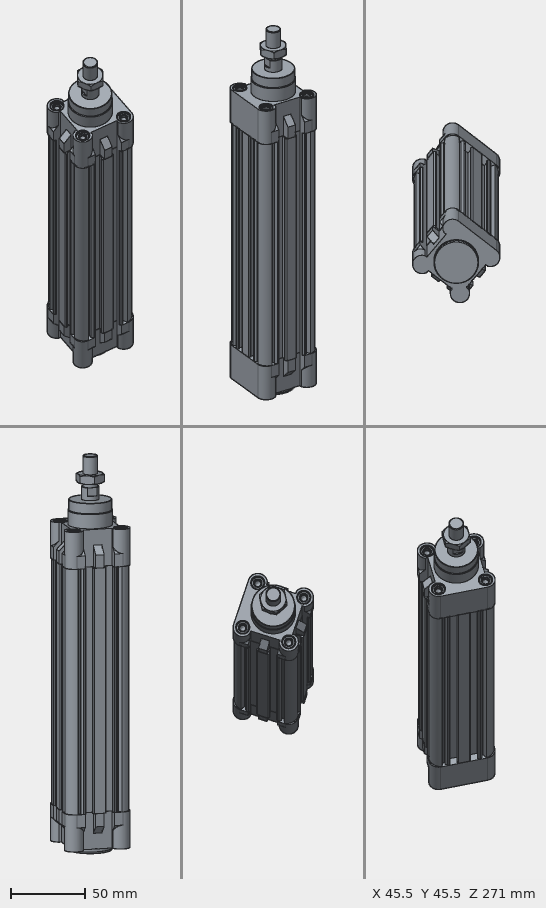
import cadquery as cq
import math

WIDTH = 45.5
HEIGHT = 271.0
HALF_WIDTH = WIDTH / 2

QUARTER_TURNS = (0, 90, 180, 270)

REAR_BOSS_HEIGHT = 3.8
CAP_HEIGHT = 25.5
BODY_HEIGHT = 219.8
REAR_CAP_BOTTOM = REAR_BOSS_HEIGHT
REAR_CAP_TOP = REAR_CAP_BOTTOM + CAP_HEIGHT
FRONT_CAP_TOP = REAR_CAP_BOTTOM + BODY_HEIGHT
FRONT_CAP_BOTTOM = FRONT_CAP_TOP - CAP_HEIGHT
SCREW_SPACING = 32.5
SCREW_OFFSET = SCREW_SPACING / 2
LOBE_RADIUS = HALF_WIDTH - SCREW_OFFSET
CAP_FACE = 17.0
RIB_HEIGHT = 9.0
RIB_WIDTH = 6.0
LOBE_INNER_EDGE = 10.3
RECESSED_SIDES = (-90, 0, 90)

SCREW_HOLE_DIAMETER = 9.5
SCREW_HOLE_DEPTH = 0.5
SCREW_RIM_DIAMETER = 9.0
SCREW_FACE_DIAMETER = 8.0
SCREW_RIM_DEPTH = 0.5
SOCKET_DIAMETER = 6.0
SOCKET_CORE_DIAMETER = 5.0
SOCKET_CHAMFER = (SOCKET_DIAMETER - SOCKET_CORE_DIAMETER) / 2
SOCKET_DEPTH = 2.0
SOCKET_TIP_DIAMETER = 4.0

BARREL_WIDTH = 45.0
BARREL_FACE = BARREL_WIDTH / 2
BARREL_CORNER_RADIUS = 8.0
SLOT_CENTRE = 7.0
SLOT_MOUTH_HALF = 2.5
SLOT_WIDE_HALF = 3.3
SLOT_FLOOR = 17.3
SLOT_LIP_INNER = 21.0
SLOT_LIP_CHAMFER = SLOT_WIDE_HALF - SLOT_MOUTH_HALF
GROOVE_MOUTH_INNER = 11.5
GROOVE_FLOOR_INNER = 12.7
GROOVE_FLOOR_OUTER = 13.8
GROOVE_MOUTH_OUTER = 15.5
GROOVE_DEPTH = 3.0
GROOVE_CHAMFER = GROOVE_FLOOR_INNER - GROOVE_MOUTH_INNER

COLLAR_DIAMETER = 30.0
COLLAR_HEIGHT = 10.3
NOSE_DIAMETER = 29.0
NOSE_HEIGHT = 7.0
NOSE_TOP = FRONT_CAP_TOP + COLLAR_HEIGHT + NOSE_HEIGHT
BOSS_CHAMFER_HEIGHT = 1.4
BOSS_CHAMFER_DEPTH = (COLLAR_DIAMETER - NOSE_DIAMETER) / 2
COLLAR_CHAMFER = 0.5
NOSE_CHAMFER = 0.3

ROD_DIAMETER = 12.0
THREAD_DIAMETER = 10.0
THREAD_BOTTOM = 249.5
THREAD_CHAMFER = 0.5
FLAT_SPACING = 9.8
FLAT_BOTTOM = 244.0
ROD_END = FRONT_CAP_BOTTOM

NUT_ACROSS_FLATS = 17.0
NUT_BOTTOM = 252.5
NUT_HEIGHT = 6.0
NUT_CHAMFER_ANGLE = 30.0
NUT_SIDES = 6


def box(x_range, y_range, z_range):
    size = [high - low for low, high in (x_range, y_range, z_range)]
    return cq.Workplane("XY").box(*size, centered=False).translate((x_range[0], y_range[0], z_range[0]))


def disc(diameter, bottom, height):
    return cq.Workplane("XY").workplane(offset=bottom).circle(diameter / 2).extrude(height)


def corner_points():
    return [(x, y) for x in (-SCREW_OFFSET, SCREW_OFFSET) for y in (-SCREW_OFFSET, SCREW_OFFSET)]


def ribs_on_one_face():
    """Centre rib and two corner pads on the -Y face of the front cap, with tops sloping at 45 degrees."""
    slope_top = RIB_HEIGHT + HALF_WIDTH - CAP_FACE
    profile = [(-SCREW_OFFSET, 0), (-HALF_WIDTH, 0), (-HALF_WIDTH, RIB_HEIGHT)]
    profile += [(-CAP_FACE, slope_top), (-SCREW_OFFSET, slope_top)]
    spans = [
        (-SCREW_OFFSET, -LOBE_INNER_EDGE),
        (-RIB_WIDTH / 2, RIB_WIDTH / 2),
        (LOBE_INNER_EDGE, SCREW_OFFSET),
    ]
    ribs = cq.Workplane("XY")
    for left, right in spans:
        rib = cq.Workplane("YZ").workplane(offset=left).polyline(profile).close().extrude(right - left)
        ribs = ribs.add(rib.translate((0, 0, FRONT_CAP_BOTTOM)))
    return ribs.combine()


def make_lobe():
    """Round lobe at the +X +Y corner, cut off flat on its two inner sides."""
    span = (LOBE_INNER_EDGE, HALF_WIDTH)
    lobe = disc(2 * LOBE_RADIUS, FRONT_CAP_BOTTOM, CAP_HEIGHT).translate((SCREW_OFFSET, SCREW_OFFSET, 0))
    z_range = (FRONT_CAP_BOTTOM, FRONT_CAP_TOP)
    walls = box((LOBE_INNER_EDGE, SCREW_OFFSET), (LOBE_INNER_EDGE, SCREW_OFFSET), z_range)
    return lobe.intersect(box(span, span, z_range)).union(walls)


def make_front_cap():
    """Cap with four round lobes, recessed on three sides and flat on the +Y side."""
    z_range = (FRONT_CAP_BOTTOM, FRONT_CAP_TOP)
    cap = box((-CAP_FACE, CAP_FACE), (-CAP_FACE, CAP_FACE), z_range)
    cap = cap.union(box((-SCREW_OFFSET, SCREW_OFFSET), (0, HALF_WIDTH), z_range))
    for angle in QUARTER_TURNS:
        cap = cap.union(make_lobe().rotate((0, 0, 0), (0, 0, 1), angle))
    for angle in RECESSED_SIDES:
        cap = cap.union(ribs_on_one_face().rotate((0, 0, 0), (0, 0, 1), angle))
    return cap


def make_screw_recess():
    """Stepped round recess of one corner screw, open at the top face of the front cap."""
    rim_bottom = -SCREW_HOLE_DEPTH - SCREW_RIM_DEPTH
    core_top = rim_bottom - SOCKET_CHAMFER
    core_bottom = rim_bottom - SOCKET_DEPTH
    tip_radius = SOCKET_TIP_DIAMETER / 2
    profile = [
        (0, 0),
        (SCREW_HOLE_DIAMETER / 2, 0),
        (SCREW_HOLE_DIAMETER / 2, -SCREW_HOLE_DEPTH),
        (SCREW_RIM_DIAMETER / 2, -SCREW_HOLE_DEPTH),
        (SCREW_FACE_DIAMETER / 2, rim_bottom),
        (SOCKET_DIAMETER / 2, rim_bottom),
        (SOCKET_CORE_DIAMETER / 2, core_top),
        (SOCKET_CORE_DIAMETER / 2, core_bottom),
        (tip_radius, core_bottom),
        (0, core_bottom - tip_radius),
    ]
    recess = cq.Workplane("XZ").polyline(profile).close().revolve(360, (0, 0, 0), (0, 1, 0))
    return recess.translate((0, 0, FRONT_CAP_TOP))


def slot_outline(side):
    """Undercut slot in the -Y face of the barrel, on the given side of its middle."""
    half_outline = [
        (SLOT_WIDE_HALF, -BARREL_FACE),
        (SLOT_MOUTH_HALF, -BARREL_FACE + SLOT_LIP_CHAMFER),
        (SLOT_MOUTH_HALF, -SLOT_LIP_INNER),
        (SLOT_WIDE_HALF, -SLOT_LIP_INNER),
        (SLOT_WIDE_HALF, -SLOT_FLOOR),
    ]
    right = [(side * SLOT_CENTRE + x, y) for x, y in half_outline]
    left = [(side * SLOT_CENTRE - x, y) for x, y in reversed(half_outline)]
    return right + left


def groove_outline(side):
    """Groove beside the slot, with a chamfered inner wall and a sloping outer wall."""
    outline = [
        (GROOVE_MOUTH_INNER, -BARREL_FACE),
        (GROOVE_FLOOR_INNER, -BARREL_FACE + GROOVE_CHAMFER),
        (GROOVE_FLOOR_INNER, -BARREL_FACE + GROOVE_DEPTH),
        (GROOVE_FLOOR_OUTER, -BARREL_FACE + GROOVE_DEPTH),
        (GROOVE_MOUTH_OUTER, -BARREL_FACE),
    ]
    return [(side * x, y) for x, y in outline]


def make_barrel():
    length = FRONT_CAP_BOTTOM - REAR_CAP_TOP
    barrel = cq.Workplane("XY").rect(BARREL_WIDTH, BARREL_WIDTH).extrude(length)
    barrel = barrel.edges("|Z").fillet(BARREL_CORNER_RADIUS)
    for side in (-1, 1):
        for outline in (slot_outline(side), groove_outline(side)):
            cutter = cq.Workplane("XY").polyline(outline).close().extrude(length)
            for angle in QUARTER_TURNS:
                barrel = barrel.cut(cutter.rotate((0, 0, 0), (0, 0, 1), angle))
    return barrel.translate((0, 0, REAR_CAP_TOP))


def make_rear_boss():
    radius = COLLAR_DIAMETER / 2
    profile = [
        (0, 0),
        (radius - BOSS_CHAMFER_DEPTH, 0),
        (radius, BOSS_CHAMFER_HEIGHT),
        (radius, REAR_BOSS_HEIGHT),
        (0, REAR_BOSS_HEIGHT),
    ]
    return cq.Workplane("XZ").polyline(profile).close().revolve(360, (0, 0, 0), (0, 1, 0))


def make_rod():
    rod = disc(ROD_DIAMETER, ROD_END, THREAD_BOTTOM - ROD_END)
    flat_z = (FLAT_BOTTOM, THREAD_BOTTOM)
    for low, high in ((FLAT_SPACING / 2, ROD_DIAMETER), (-ROD_DIAMETER, -FLAT_SPACING / 2)):
        rod = rod.cut(box((-ROD_DIAMETER, ROD_DIAMETER), (low, high), flat_z))
    thread = disc(THREAD_DIAMETER, THREAD_BOTTOM, HEIGHT - THREAD_BOTTOM)
    return rod.union(thread.faces(">Z").chamfer(THREAD_CHAMFER))


def make_housing():
    front_cap = make_front_cap()
    middle = (REAR_CAP_BOTTOM + FRONT_CAP_TOP) / 2
    rear_cap = front_cap.mirror("XY", (0, 0, middle))
    housing = make_barrel().union(front_cap).union(rear_cap).union(make_rear_boss())
    collar = disc(COLLAR_DIAMETER, FRONT_CAP_TOP, COLLAR_HEIGHT).faces(">Z").chamfer(COLLAR_CHAMFER)
    nose = disc(NOSE_DIAMETER, FRONT_CAP_TOP, NOSE_TOP - FRONT_CAP_TOP).faces(">Z").chamfer(NOSE_CHAMFER)
    housing = housing.union(collar).union(nose)
    for x, y in corner_points():
        housing = housing.cut(make_screw_recess().translate((x, y, 0)))
    return housing.cut(disc(ROD_DIAMETER, ROD_END, NOSE_TOP - ROD_END))


def make_nut():
    """Hexagon nut with flats facing +X and -X and conical chamfers on both ends."""
    flat_radius = NUT_ACROSS_FLATS / 2
    corner_radius = flat_radius / math.cos(math.pi / NUT_SIDES)
    chamfer = (corner_radius - flat_radius) * math.tan(math.radians(NUT_CHAMFER_ANGLE))
    hexagon = cq.Workplane("XY").polygon(NUT_SIDES, 2 * corner_radius).extrude(NUT_HEIGHT)
    hexagon = hexagon.rotate((0, 0, 0), (0, 0, 1), 180 / NUT_SIDES)
    profile = [
        (0, 0),
        (flat_radius, 0),
        (corner_radius, chamfer),
        (corner_radius, NUT_HEIGHT - chamfer),
        (flat_radius, NUT_HEIGHT),
        (0, NUT_HEIGHT),
    ]
    envelope = cq.Workplane("XZ").polyline(profile).close().revolve(360, (0, 0, 0), (0, 1, 0))
    nut = hexagon.intersect(envelope).cut(disc(THREAD_DIAMETER, 0, NUT_HEIGHT))
    return nut.translate((0, 0, NUT_BOTTOM))


housing = make_housing().solids()
rod = make_rod().solids()
nut = make_nut().solids()

result = cq.Compound.makeCompound([housing.val(), rod.val(), nut.val()])